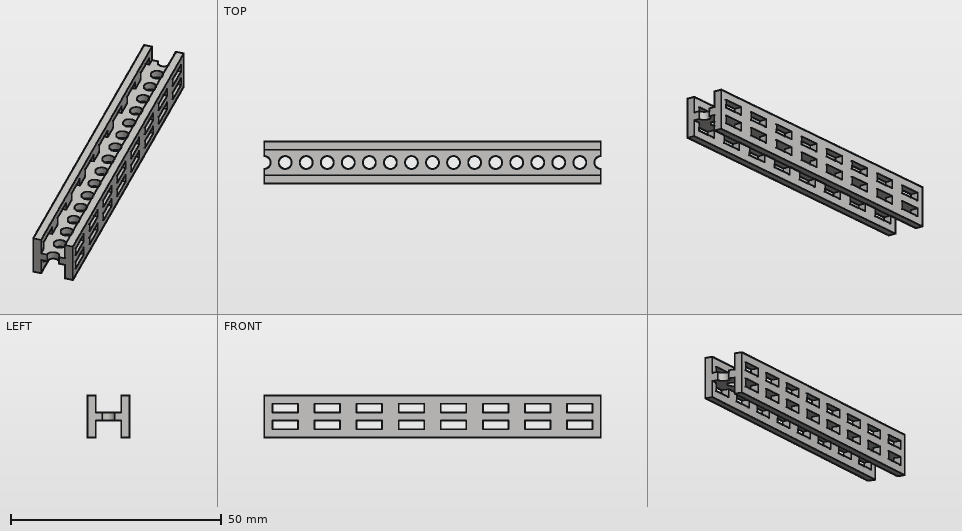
import cadquery as cq

length = 80.0
width = 10.0
height = 10.0
wall = 2.0

hole_diameter = 3.0
hole_pitch = 5.0

slot_length = 6.0
slot_height = 2.0
slot_pitch = 10.0

hole_count = int(length / hole_pitch) + 1
slot_count = int(length / slot_pitch)
flange_offset = (width - wall) / 2
slot_offset = (wall + slot_height) / 2


def h_beam():
    """H-shaped beam: two upright flanges joined by a horizontal web."""
    beam = cq.Workplane("XY").box(length, width, wall)
    for side in (-1, 1):
        flange = cq.Workplane("XY").box(length, wall, height)
        beam = beam.union(flange.translate((0, side * flange_offset, 0)))
    return beam


def web_holes():
    """Row of round holes through the web, including a half hole at each end."""
    return (
        cq.Workplane("XY")
        .rarray(hole_pitch, 1, hole_count, 1)
        .circle(hole_diameter / 2)
        .extrude(wall / 2, both=True)
    )


def flange_slots():
    """Rows of rectangular slots above and below the web, through both flanges."""
    return (
        cq.Workplane("XZ")
        .rarray(slot_pitch, 2 * slot_offset, slot_count, 2)
        .rect(slot_length, slot_height)
        .extrude(width / 2, both=True)
    )


result = h_beam().cut(web_holes()).cut(flange_slots())